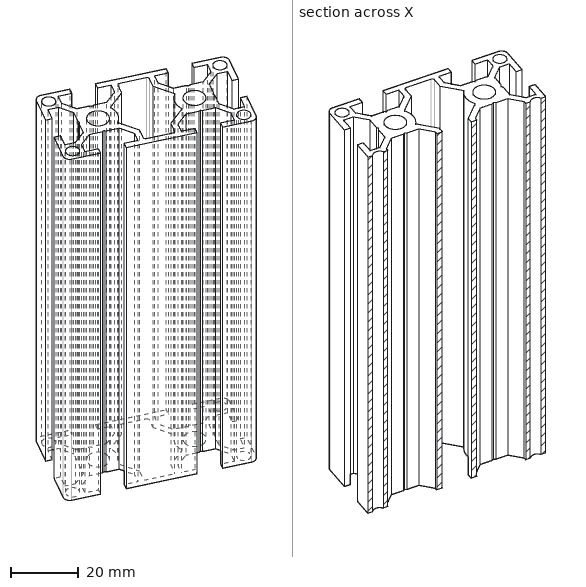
import cadquery as cq
import math

cell = 30.0
length = 135.0
half_cell = cell / 2
corner_radius = 2.0

slot_opening = 8.0
slot_inner_half = 8.2
lip_thickness = 2.0
core_half = 6.1
web_thickness = 2.0
web_offset = web_thickness / math.sqrt(2)
groove_half_width = 0.61
groove_depth = 0.34

cavity_wall = 1.9
boss_radius = 6.1
cavity_corner_radius = 0.7

core_hole = 6.8
corner_hole = 4.2
corner_hole_offset = 11.6


def slot_cutter(center_y, angle):
    """T-slot of the cell at center_y, turned by angle from the +Y side."""
    opening_half = slot_opening / 2
    right_side = [
        (groove_half_width, core_half),
        (core_half - web_offset, core_half),
        (slot_inner_half, slot_inner_half + web_offset),
        (slot_inner_half, half_cell - lip_thickness),
        (opening_half, half_cell - lip_thickness),
        (opening_half, half_cell),
    ]
    left_side = [(-x, y) for x, y in reversed(right_side)]
    groove_bottom = (0, core_half - groove_depth)
    return (
        cq.Workplane("XY")
        .polyline([groove_bottom] + right_side + left_side)
        .close()
        .extrude(length)
        .rotate((0, 0, 0), (0, 0, 1), angle)
        .translate((0, center_y, 0))
    )


def cavity_cutter():
    """Closed cavity between the cores, with a round boss face towards each core."""
    wall_x = half_cell - lip_thickness
    ledge_depth = slot_inner_half + cavity_wall
    ledge_y = half_cell - ledge_depth
    boss_x = (math.sqrt(2 * boss_radius**2 - web_offset**2) - web_offset) / 2
    boss_y = half_cell - (boss_x + web_offset)
    web_x = ledge_depth - web_offset
    boss_top = half_cell - boss_radius
    cavity = (
        cq.Workplane("XY")
        .moveTo(-wall_x, -ledge_y)
        .lineTo(-wall_x, ledge_y)
        .lineTo(-web_x, ledge_y)
        .lineTo(-boss_x, boss_y)
        .threePointArc((0, boss_top), (boss_x, boss_y))
        .lineTo(web_x, ledge_y)
        .lineTo(wall_x, ledge_y)
        .lineTo(wall_x, -ledge_y)
        .lineTo(web_x, -ledge_y)
        .lineTo(boss_x, -boss_y)
        .threePointArc((0, -boss_top), (-boss_x, -boss_y))
        .lineTo(-web_x, -ledge_y)
        .close()
        .extrude(length)
    )
    side_walls = cavity.faces("<X or >X")
    return side_walls.edges("|Z").fillet(cavity_corner_radius)


def hole_cutter(points, diameter):
    return cq.Workplane("XY").pushPoints(points).circle(diameter / 2).extrude(length)


result = (
    cq.Workplane("XY")
    .rect(cell, 2 * cell)
    .extrude(length)
    .edges("|Z")
    .fillet(corner_radius)
)

for side in (1, -1):
    end_angle = 0 if side > 0 else 180
    for slot_angle in (end_angle, 90, -90):
        result = result.cut(slot_cutter(side * half_cell, slot_angle))

result = result.cut(cavity_cutter())

core_centers = [(0, half_cell), (0, -half_cell)]
result = result.cut(hole_cutter(core_centers, core_hole))

corner_y = half_cell + corner_hole_offset
corner_centers = [(sx * corner_hole_offset, sy * corner_y) for sx in (1, -1) for sy in (1, -1)]
result = result.cut(hole_cutter(corner_centers, corner_hole))